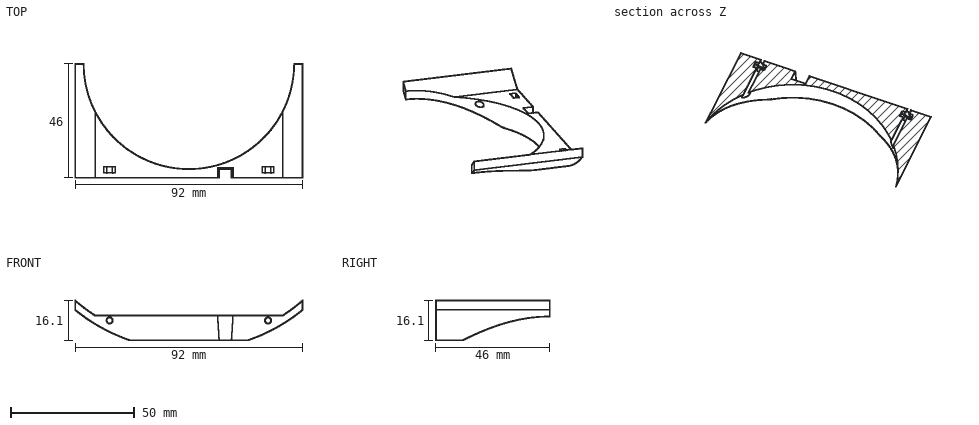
import cadquery as cq
import math

length = 92.0
depth = 46.0
height = 16.1
floor_height = 10.0

wing_inner_radius = 70.0
wing_outer_radius = 73.0
half_length = length / 2
wing_axis_z = height + math.sqrt(wing_inner_radius**2 - half_length**2)

bore_radius = 42.5

notch_x = 14.7
notch_top_width = 6.3
notch_top_depth = 4.1
notch_taper = 0.6

screw_x = 32.0
screw_z = floor_height - 2.0
screw_diameter = 2.4
nut_corner_diameter = 4.6
nut_thickness = 2.4
nut_front_y = 2.0


def arc_z(radius, x):
    """Height of the lower part of a wing arc at the given x."""
    return wing_axis_z - math.sqrt(radius**2 - x**2)


def arc_x(radius, z):
    """Positive x where a wing arc reaches the given height."""
    return math.sqrt(radius**2 - (wing_axis_z - z)**2)


def make_body():
    """Extrude the front profile from the front face to the back edge."""
    base_x = arc_x(wing_outer_radius, 0)
    floor_x = arc_x(wing_inner_radius, floor_height)
    tip_z = arc_z(wing_outer_radius, half_length)
    outer_mid_x = (base_x + half_length) / 2
    inner_mid_x = (floor_x + half_length) / 2
    outer_mid_z = arc_z(wing_outer_radius, outer_mid_x)
    inner_mid_z = arc_z(wing_inner_radius, inner_mid_x)
    profile = (
        cq.Workplane("XZ")
        .moveTo(-base_x, 0)
        .lineTo(base_x, 0)
        .threePointArc((outer_mid_x, outer_mid_z), (half_length, tip_z))
        .lineTo(half_length, height)
        .threePointArc((inner_mid_x, inner_mid_z), (floor_x, floor_height))
        .lineTo(-floor_x, floor_height)
        .threePointArc((-inner_mid_x, inner_mid_z), (-half_length, height))
        .lineTo(-half_length, tip_z)
        .threePointArc((-outer_mid_x, outer_mid_z), (-base_x, 0))
        .close()
    )
    return profile.extrude(-depth)


def make_bore():
    return cq.Workplane("XY").center(0, depth).circle(bore_radius).extrude(height)


def make_notch():
    """Loft between rectangles centred on the front face, so half of each cuts."""
    bottom_width = notch_top_width - 2 * notch_taper
    bottom_depth = notch_top_depth - notch_taper
    return (
        cq.Workplane("XY")
        .center(notch_x, 0)
        .rect(bottom_width, 2 * bottom_depth)
        .workplane(offset=floor_height)
        .rect(notch_top_width, 2 * notch_top_depth)
        .loft(ruled=True)
    )


def make_screw_hole(x):
    return cq.Workplane("XZ").center(x, screw_z).circle(screw_diameter / 2).extrude(-depth)


def make_nut_pocket(x):
    """Hexagonal seat with a flat floor, open to the top of the web."""
    plane = cq.Workplane("XZ", origin=(x, nut_front_y, screw_z))
    seat = plane.polygon(6, nut_corner_diameter).extrude(-nut_thickness)
    entry_height = height - screw_z
    entry = (
        plane.center(0, entry_height / 2)
        .rect(nut_corner_diameter, entry_height)
        .extrude(-nut_thickness)
    )
    return seat.union(entry)


result = make_body().cut(make_bore()).cut(make_notch())
for x in (-screw_x, screw_x):
    result = result.cut(make_screw_hole(x)).cut(make_nut_pocket(x))